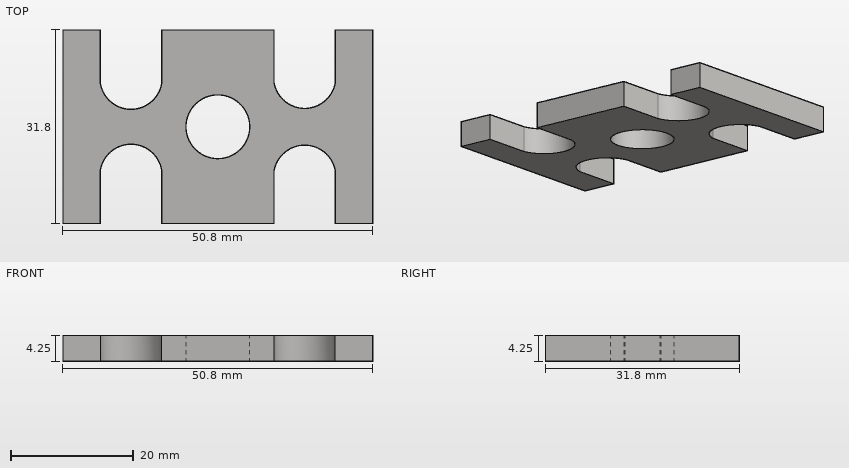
import cadquery as cq
import math

length = 50.8
width = 31.75
thickness = 4.25

hole_diameter = 10.4

slot_width = 10.0
slot_half_width = slot_width / 2
slot_end_radius = 5.1
slot_end_height = slot_end_radius - math.sqrt(slot_end_radius**2 - slot_half_width**2)
slot_offset_x = 14.2
left_slot_depth = 13.0
right_slot_depth = 12.85


def edge_slot(center_x, side, depth):
    """Round-bottomed slot running inward from the long edge at side * width / 2."""
    edge_y = side * width / 2
    arc_y = edge_y - side * (depth - slot_end_height)
    bottom_y = edge_y - side * depth
    return (
        cq.Workplane("XY")
        .moveTo(center_x - slot_half_width, edge_y)
        .lineTo(center_x - slot_half_width, arc_y)
        .threePointArc((center_x, bottom_y), (center_x + slot_half_width, arc_y))
        .lineTo(center_x + slot_half_width, edge_y)
        .close()
        .extrude(thickness)
    )


plate = cq.Workplane("XY").rect(length, width).extrude(thickness)
result = plate.cut(cq.Workplane("XY").circle(hole_diameter / 2).extrude(thickness))

for side in (-1, 1):
    result = result.cut(edge_slot(-slot_offset_x, side, left_slot_depth))
    result = result.cut(edge_slot(slot_offset_x, side, right_slot_depth))